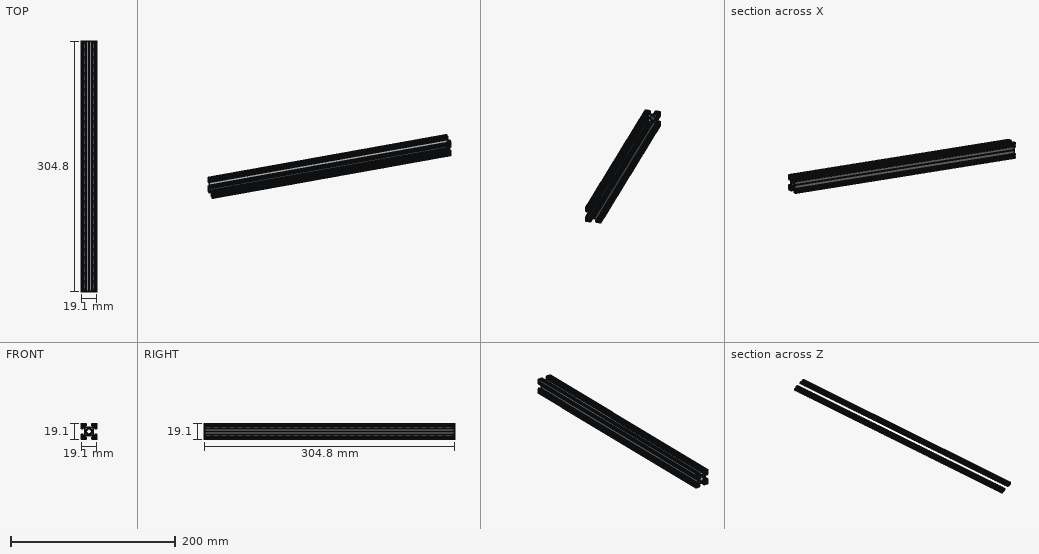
import cadquery as cq

SIZE = 19.05
LENGTH = 304.8
CORE_SIZE = 10.4
BORE_DIAMETER = 6.5
SLOT_OPENING = 6.35
CHANNEL_WIDTH = 9.4
LIP_THICKNESS = 1.9
LIP_CHAMFER = 0.95
CORNER_RADIUS = 1.2
HUB_OFFSET = 6.95
HUB_HOLE_DIAMETER = 2.1
COUNTERSINK_DIAMETER = 3.4
OUTER_GROOVE_WIDTH = 1.1
OUTER_GROOVE_DEPTH = 0.6
CORE_GROOVE_WIDTH = 0.5
CORE_GROOVE_DEPTH = 0.7

QUARTERS = 4
HALF_SIZE = SIZE / 2
HALF_CORE = CORE_SIZE / 2
HALF_LENGTH = LENGTH / 2
LIP_TIP = SLOT_OPENING / 2
LIP_BACK = HALF_SIZE - LIP_THICKNESS
HUB_INNER = CHANNEL_WIDTH / 2
COUNTERSINK_DEPTH = (COUNTERSINK_DIAMETER - HUB_HOLE_DIAMETER) / 2


def bar(x_min, x_max, z_min, z_max):
    """Full-length rectangular bar between the given limits."""
    centre = ((x_min + x_max) / 2, 0, (z_min + z_max) / 2)
    return cq.Workplane("XY").box(x_max - x_min, LENGTH, z_max - z_min).translate(centre)


def rod(diameter, x=0, z=0):
    """Full-length round rod centred on (x, z)."""
    return cq.Workplane("XZ").center(x, z).circle(diameter / 2).extrude(HALF_LENGTH, both=True)


def v_groove(x, z_face, width, depth):
    """Full-length V cutter sunk into an upward-facing surface at height z_face."""
    points = [(x - width / 2, z_face), (x + width / 2, z_face), (x, z_face - depth)]
    return cq.Workplane("XZ").polyline(points).close().extrude(HALF_LENGTH, both=True)


def turned(shape, quarter):
    """The shape turned about the rail axis by a number of quarter turns."""
    return shape.rotate((0, 0, 0), (0, 1, 0), quarter * 360 / QUARTERS)


def countersink():
    """45 degree cone at the -Y end of the corner hole in the +X +Z quadrant."""
    cone = cq.Solid.makeCone(
        COUNTERSINK_DIAMETER / 2,
        HUB_HOLE_DIAMETER / 2,
        COUNTERSINK_DEPTH,
        pnt=cq.Vector(HUB_OFFSET, -HALF_LENGTH, HUB_OFFSET),
        dir=cq.Vector(0, 1, 0),
    )
    return cq.Workplane(cone)


def corner_lobe():
    """Drilled corner hub with its two lips, in the +X +Z quadrant."""
    hub = bar(HUB_INNER, HALF_SIZE, HUB_INNER, HALF_SIZE)
    hub = hub.edges("|Y and >X and >Z").fillet(CORNER_RADIUS)
    top_lip = bar(LIP_TIP, HUB_OFFSET, LIP_BACK, HALF_SIZE)
    top_lip = top_lip.edges("|Y and <X and >Z").chamfer(LIP_CHAMFER)
    side_lip = bar(LIP_BACK, HALF_SIZE, LIP_TIP, HUB_OFFSET)
    side_lip = side_lip.edges("|Y and >X and <Z").chamfer(LIP_CHAMFER)
    lobe = hub.union(top_lip).union(side_lip)
    return lobe.cut(rod(HUB_HOLE_DIAMETER, HUB_OFFSET, HUB_OFFSET)).cut(countersink())


def side_grooves():
    """V grooves of the +Z side: one on the slot floor and one on each lip face."""
    return [
        v_groove(0, HALF_CORE, CORE_GROOVE_WIDTH, CORE_GROOVE_DEPTH),
        v_groove(HUB_OFFSET, HALF_SIZE, OUTER_GROOVE_WIDTH, OUTER_GROOVE_DEPTH),
        v_groove(-HUB_OFFSET, HALF_SIZE, OUTER_GROOVE_WIDTH, OUTER_GROOVE_DEPTH),
    ]


rail = bar(-HALF_CORE, HALF_CORE, -HALF_CORE, HALF_CORE)
lobe = corner_lobe()
for quarter in range(QUARTERS):
    rail = rail.union(turned(lobe, quarter))

for quarter in range(QUARTERS):
    for groove in side_grooves():
        rail = rail.cut(turned(groove, quarter))

result = rail.cut(rod(BORE_DIAMETER))